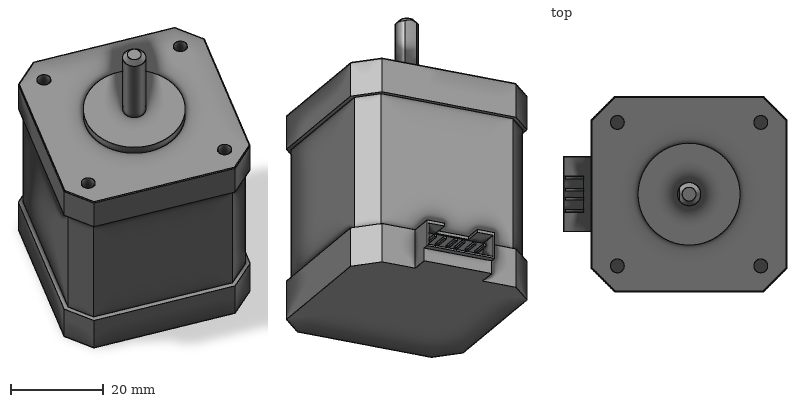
import cadquery as cq


cap_width = 42.3
cap_corner = 5.1
body_inset = 1.0
body_width = cap_width - 2 * body_inset
body_corner = 4.35
base_cap_height = 9.05
body_height = 31.0
front_cap_height = 8.0
front_cap_edge_chamfer = 0.2

pilot_diameter = 22.0
pilot_height = 2.0
total_height = 68
shaft_diameter = 5.0
shaft_tip_chamfer = 1.0
flat_depth = 0.4
flat_clearance = 0.95

mount_hole_diameter = 3.0
mount_hole_spacing = 31.0
mount_hole_depth = front_cap_height

socket_reach = 6.0
socket_width = 16.2
socket_height = 6.05
socket_wall = 0.4
socket_roof = 0.7
cavity_depth = 4.9
notch_width = 7.9
notch_depth = 4.35
foot_reach = 4.5

pin_thickness = 0.55
pin_offsets = [0.95, 3.55, 5.9]
pin_drop = 3.1
pin_tip_inset = 0.4

body_top = base_cap_height + body_height
mount_face = body_top + front_cap_height
pilot_top = mount_face + pilot_height
shaft_length = total_height - pilot_top
cap_side = -cap_width / 2
socket_mouth = cap_side - socket_reach
socket_floor = base_cap_height - socket_height
cavity_back = socket_mouth + cavity_depth


def octagonal_block(width, corner, height, bottom):
    """Square block centred on the Z axis with bevelled vertical corners."""
    block = cq.Workplane("XY").workplane(offset=bottom).rect(width, width).extrude(height)
    return block.edges("|Z").chamfer(corner)


def box_between(x_range, width, z_range):
    """Box spanning the given X and Z ranges, centred on Y = 0."""
    x_min, x_max = x_range
    z_min, z_max = z_range
    box = cq.Workplane("XY").box(x_max - x_min, width, z_max - z_min, centered=(False, True, False))
    return box.translate((x_min, 0, z_min))


def make_housing():
    base_cap = octagonal_block(cap_width, cap_corner, base_cap_height, 0)
    body = octagonal_block(body_width, body_corner, body_height, base_cap_height)
    front_cap = octagonal_block(cap_width, cap_corner, front_cap_height, body_top)
    front_cap = front_cap.faces(">Z").edges().chamfer(front_cap_edge_chamfer)
    mount_holes = (
        cq.Workplane("XY")
        .workplane(offset=mount_face)
        .rect(mount_hole_spacing, mount_hole_spacing, forConstruction=True)
        .vertices()
        .circle(mount_hole_diameter / 2)
        .extrude(-mount_hole_depth)
    )
    return base_cap.union(body).union(front_cap).cut(mount_holes)


def make_pilot():
    return cq.Workplane("XY").workplane(offset=mount_face).circle(pilot_diameter / 2).extrude(pilot_height)


def make_shaft():
    """Shaft with a bevelled tip and a flat facing -X that stops short of the pilot."""
    radius = shaft_diameter / 2
    shaft = cq.Workplane("XY").workplane(offset=pilot_top).circle(radius).extrude(shaft_length)
    shaft = shaft.faces(">Z").chamfer(shaft_tip_chamfer)
    flat = box_between(
        (-shaft_diameter, flat_depth - radius), shaft_diameter, (pilot_top + flat_clearance, total_height)
    )
    return shaft.cut(flat)


def make_connector():
    """Socket with a notched roof on a shorter foot, holding a row of pins rooted in its back wall."""
    socket = box_between((socket_mouth, cap_side), socket_width, (socket_floor, base_cap_height))
    foot = box_between((cap_side - foot_reach, cap_side), socket_width, (0, socket_floor))
    cavity = box_between(
        (socket_mouth, cavity_back),
        socket_width - 2 * socket_wall,
        (socket_floor + socket_wall, base_cap_height - socket_roof),
    )
    notch = box_between(
        (socket_mouth, socket_mouth + notch_depth),
        notch_width,
        (base_cap_height - socket_roof, base_cap_height),
    )
    pin_sites = [(side * offset, base_cap_height - pin_drop) for offset in pin_offsets for side in (-1, 1)]
    pins = (
        cq.Workplane("YZ")
        .workplane(offset=socket_mouth + pin_tip_inset)
        .pushPoints(pin_sites)
        .rect(pin_thickness, pin_thickness)
        .extrude(cavity_depth)
    )
    return socket.union(foot).cut(cavity).cut(notch).union(pins)


result = make_housing().union(make_pilot()).union(make_shaft()).union(make_connector())